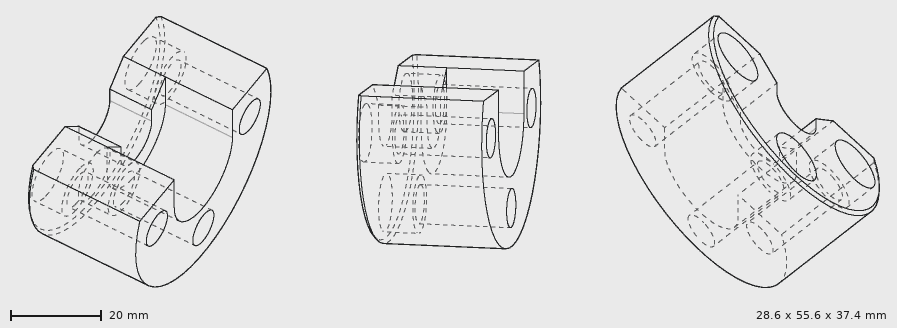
import cadquery as cq

length = 28.55
body_radius = 27.8
height = 37.35
top_z = height - body_radius
edge_chamfer = 0.8

channel_radius = 6.35
lead_in_half_width = 11.95
lead_in_drop = lead_in_half_width - channel_radius
wide_radius = lead_in_half_width
narrow_length = 11.0

bolt_circle_radius = 19.05
bolt_hole_diameter = 8.65
counterbore_diameter = 12.95
counterbore_depth = 7.8


def u_channel(radius, start_x, run):
    """Round-bottomed channel along X, open at the flat top."""
    return (
        cq.Workplane("YZ", origin=(start_x, 0, 0))
        .moveTo(-radius, top_z)
        .lineTo(-radius, 0)
        .threePointArc((0, -radius), (radius, 0))
        .lineTo(radius, top_z)
        .close()
        .extrude(run)
    )


def bolt_cylinder(y, z, diameter, depth):
    """Cylinder running in from the -X face."""
    return cq.Workplane("YZ").center(y, z).circle(diameter / 2).extrude(depth)


body = cq.Workplane("YZ").circle(body_radius).extrude(length).faces("<X").chamfer(edge_chamfer)
above_flat = (
    cq.Workplane("XY", origin=(0, 0, top_z))
    .rect(2 * length, 2 * body_radius)
    .extrude(body_radius)
)
body = body.cut(above_flat)

lead_in = (
    cq.Workplane("YZ")
    .polyline(
        [
            (-lead_in_half_width, top_z),
            (-channel_radius, top_z - lead_in_drop),
            (channel_radius, top_z - lead_in_drop),
            (lead_in_half_width, top_z),
        ]
    )
    .close()
    .extrude(narrow_length)
)
body = body.cut(u_channel(channel_radius, 0, narrow_length))
body = body.cut(lead_in)
body = body.cut(u_channel(wide_radius, narrow_length, length - narrow_length))

bolt_centers = [
    (-bolt_circle_radius, 0),
    (bolt_circle_radius, 0),
    (0, -bolt_circle_radius),
]
for y, z in bolt_centers:
    body = body.cut(bolt_cylinder(y, z, bolt_hole_diameter, length))
    body = body.cut(bolt_cylinder(y, z, counterbore_diameter, counterbore_depth))

result = body